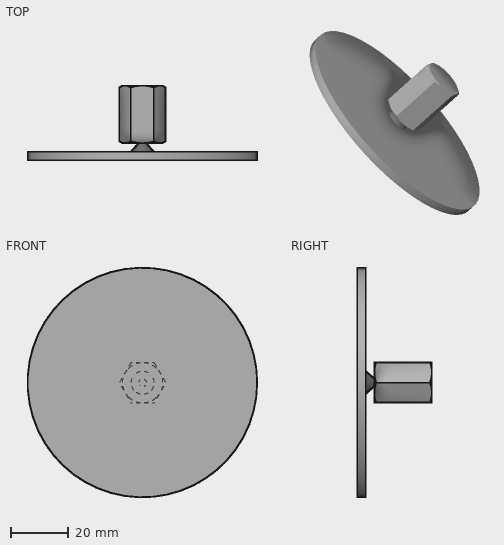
import cadquery as cq
import math

disc_diameter = 80.0
total_length = 26.0

nut_length = 20.0
nut_across_flats = 14.0
nut_across_corners = nut_across_flats / math.cos(math.radians(30))
chamfer_angle = 30.0

disc_thickness = (total_length - nut_length) / 2
neck_length = total_length - nut_length - disc_thickness
neck_base_radius = 4.0
neck_tip_radius = 1.4

nut_start = disc_thickness + neck_length


def make_disc():
    """Round plate with a conical neck that tapers toward the nut."""
    profile = [
        (0, 0),
        (disc_diameter / 2, 0),
        (disc_diameter / 2, disc_thickness),
        (neck_base_radius, disc_thickness),
        (neck_tip_radius, nut_start),
        (0, nut_start),
    ]
    return cq.Workplane("XY").polyline(profile).close().revolve(360, (0, 0), (0, 1))


def make_nut():
    """Hexagonal nut with corners on the X axis and both ends chamfered by a cone."""
    hexagon = (
        cq.Workplane("XZ", origin=(0, nut_start, 0))
        .polygon(6, nut_across_corners)
        .extrude(-nut_length)
    )
    face_radius = nut_across_flats / 2
    corner_radius = nut_across_corners / 2
    chamfer_slope = math.tan(math.radians(chamfer_angle))
    chamfer_length = (corner_radius - face_radius) * chamfer_slope
    envelope_profile = [
        (0, nut_start),
        (face_radius, nut_start),
        (corner_radius, nut_start + chamfer_length),
        (corner_radius, total_length - chamfer_length),
        (face_radius, total_length),
        (0, total_length),
    ]
    envelope = cq.Workplane("XY").polyline(envelope_profile).close().revolve(360, (0, 0), (0, 1))
    return hexagon.intersect(envelope).solids()


disc = make_disc()
nut = make_nut()

result = cq.Compound.makeCompound([disc.val(), nut.val()])